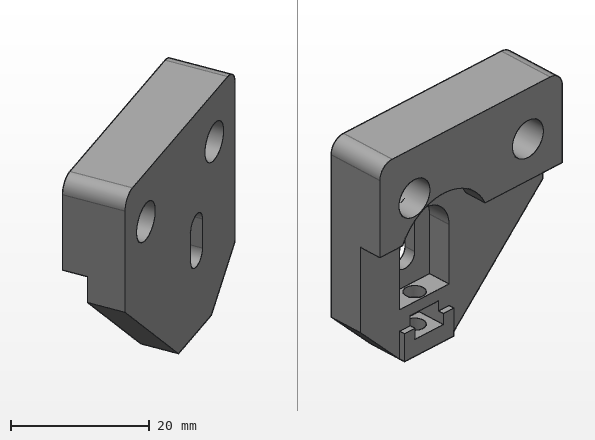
import cadquery as cq

thickness = 10.0
width = 37.0
height = 38.0
corner_radius = 2.5
wide_chamfer = 17.97
narrow_chamfer = 7.98

recess_depth = 4.0
recess_top = 22.42
arch_radius = 9.25

arch_center_z = 18.45
pocket_width = 10.0
axis_y = width / 2 - narrow_chamfer - pocket_width / 2
pocket_bottom = 8.4
pocket_depth = 4.0
slot_width = 4.0
slot_bottom = 11.45

lip_height = 4.75
lip_rise = 1.0
nut_width = 5.75
nut_bottom = 2.9
nut_top = 6.45
screw_diameter = 3.35

mount_diameter = 6.27
mount_spacing = 23.0
mount_z = 29.45

pocket_floor_x = recess_depth + pocket_depth
screw_x = recess_depth + pocket_depth / 2


def box(x_range, y_center, y_size, z_range):
    """Box spanning the X and Z ranges, centred on y_center."""
    x_size = x_range[1] - x_range[0]
    z_size = z_range[1] - z_range[0]
    solid = cq.Workplane("XY").box(x_size, y_size, z_size, centered=(False, True, False))
    return solid.translate((x_range[0], y_center, z_range[0]))


def x_cylinder(y, z, diameter, length):
    """Cylinder along +X starting at X = 0."""
    return cq.Workplane("YZ").center(y, z).circle(diameter / 2).extrude(length)


def make_body():
    half = width / 2
    outline = [
        (-half, wide_chamfer),
        (-half, height),
        (half, height),
        (half, narrow_chamfer),
        (half - narrow_chamfer, 0),
        (-half + wide_chamfer, 0),
    ]
    body = cq.Workplane("YZ").polyline(outline).close().extrude(thickness)
    return body.faces(">Z").edges("|X").fillet(corner_radius)


def make_recess():
    lower = box((0, recess_depth), 0, width, (0, recess_top))
    return lower.union(x_cylinder(axis_y, arch_center_z, 2 * arch_radius, recess_depth))


def make_pocket():
    lower = box((0, pocket_floor_x), axis_y, pocket_width, (pocket_bottom, arch_center_z))
    return lower.union(x_cylinder(axis_y, arch_center_z, pocket_width, pocket_floor_x))


def make_slot():
    slot_top = arch_center_z + slot_width / 2
    slot = cq.Workplane("YZ").center(axis_y, (slot_bottom + slot_top) / 2)
    return slot.slot2D(slot_top - slot_bottom, slot_width, 90).extrude(thickness)


lip = box((recess_depth - lip_rise, recess_depth), axis_y, pocket_width, (0, lip_height))
nut_pocket = box((0, pocket_floor_x), axis_y, nut_width, (nut_bottom, nut_top))
screw_hole = (
    cq.Workplane("XY")
    .center(screw_x, axis_y)
    .circle(screw_diameter / 2)
    .extrude(pocket_bottom)
)

result = make_body().cut(make_recess()).union(lip)
result = result.cut(make_pocket()).cut(make_slot()).cut(nut_pocket).cut(screw_hole)
for side in (-1, 1):
    result = result.cut(x_cylinder(side * mount_spacing / 2, mount_z, mount_diameter, thickness))